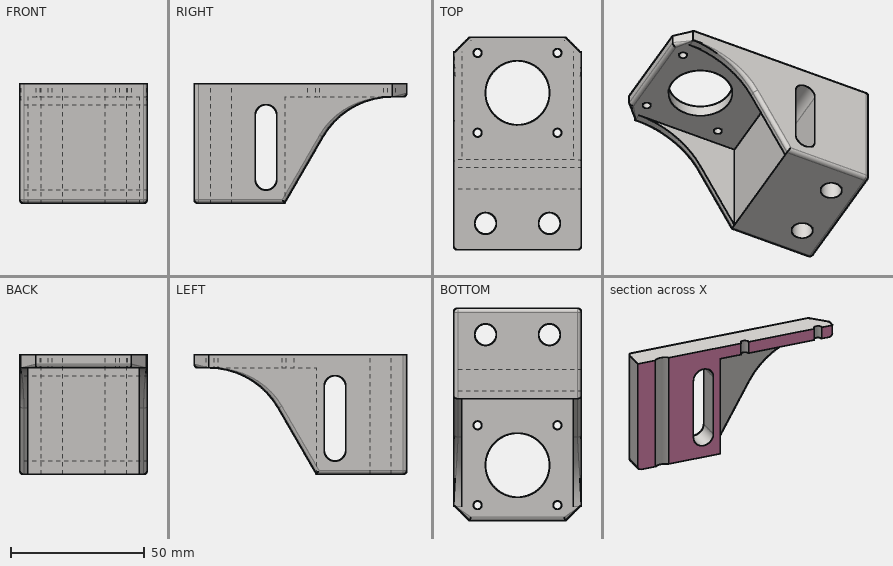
import cadquery as cq
import math

width = 48.0
length = 80.0
height = 45.0
plate_thickness = 5.0
plate_bottom = height - plate_thickness

block_length = 34.0
gusset_thickness = 3.0
gusset_angle = math.radians(60)
gusset_radius = 30.0

edge_radius = 1.5
faded_radius = 0.1
corner_chamfer = 6.0

motor_y = 59.0
motor_bore = 24.0
screw_pitch = 30.0
screw_diameter = 3.0

rod_diameter = 8.0
rod_pitch = 24.0
rod_y = 10.0
slot_width = 8.0
slot_height = 32.0
slot_y = 27.0
slot_z = 21.0


def round_edges(work, full_edges, fading_edges, fades_along_y):
    """Fillet full_edges evenly; fade the fillet of fading_edges out along +Y or -Y."""
    builder = cq.occ_impl.shapes.BRepFilletAPI_MakeFillet(work.val().wrapped)
    for edge in full_edges:
        builder.Add(edge_radius, edge.wrapped)
    for edge in fading_edges:
        builder.Add(edge.wrapped)
        contour = builder.Contour(edge.wrapped)
        position = 1
        while not builder.Edge(contour, position).IsSame(edge.wrapped):
            position += 1
        start = edge.startPoint()
        end = edge.endPoint()
        runs_forward = (end.y - start.y) * fades_along_y > 0
        radii = (edge_radius, faded_radius) if runs_forward else (faded_radius, edge_radius)
        builder.SetRadius(*radii, contour, position)
    return work.newObject([cq.Shape.cast(builder.Shape())])


def make_plate():
    """Top plate with chamfered rear corners and a rounded rear lower edge."""
    plate = cq.Workplane("XY").box(width, length, plate_thickness, centered=(True, False, False))
    plate = plate.translate((0, 0, plate_bottom))
    plate = plate.edges("|Z and <Y").fillet(edge_radius)
    plate = plate.edges("|Z and >Y").chamfer(corner_chamfer)
    rear_edges = plate.edges("|X and >Y and <Z").vals()
    corner_edges = [
        edge for edge in plate.faces("<Z").edges("not(|X or |Y)").vals()
        if edge.Center().y > motor_y
    ]
    return round_edges(plate, rear_edges, corner_edges, -1)


def make_side_wall():
    """Left wall along the block, with a gusset whose slope sweeps into the plate."""
    slope_top_y = block_length + plate_bottom / math.tan(gusset_angle)
    tangent_length = gusset_radius * math.tan(gusset_angle / 2)
    arc_end_y = slope_top_y + tangent_length
    arc_center_z = plate_bottom - gusset_radius

    def arc_point(angle):
        y = arc_end_y - gusset_radius * math.sin(angle)
        z = arc_center_z + gusset_radius * math.cos(angle)
        return (y, z)

    return (
        cq.Workplane("YZ", origin=(-width / 2, 0, 0))
        .moveTo(0, height)
        .lineTo(0, 0)
        .lineTo(block_length, 0)
        .lineTo(*arc_point(gusset_angle))
        .threePointArc(arc_point(gusset_angle / 2), arc_point(0))
        .lineTo(arc_end_y, height)
        .close()
        .extrude(gusset_thickness)
    )


def make_support():
    """Block and gussets with rounded front uprights and rounded outer lower edges."""
    block = cq.Workplane("XY").box(width, block_length, height, centered=(True, False, False))
    wall = make_side_wall()
    support = block.union(wall).union(wall.mirror("YZ")).clean()
    support = support.edges("|Z and <Y").fillet(edge_radius)

    outer_edges = [
        edge for edge in support.edges().vals()
        if edge.Center().y > block_length
        and math.isclose(abs(edge.Center().x), width / 2)
        and edge.Center().z < plate_bottom
    ]
    slopes = [edge for edge in outer_edges if edge.geomType() == "LINE"]
    sweeps = [edge for edge in outer_edges if edge.geomType() == "CIRCLE"]
    lower_edges = support.faces("<Z").edges("not >Y").vals()
    return round_edges(support, lower_edges + slopes, sweeps, 1)


body = make_plate().union(make_support())

top = cq.Workplane("XY", origin=(0, motor_y, 0))
body = body.cut(top.circle(motor_bore / 2).extrude(height))
screws = top.rect(screw_pitch, screw_pitch, forConstruction=True).vertices()
body = body.cut(screws.circle(screw_diameter / 2).extrude(height))

rods = cq.Workplane("XY").pushPoints([(-rod_pitch / 2, rod_y), (rod_pitch / 2, rod_y)])
body = body.cut(rods.circle(rod_diameter / 2).extrude(height))

slot = (
    cq.Workplane("YZ")
    .center(slot_y, slot_z)
    .slot2D(slot_height, slot_width, 90)
    .extrude(width / 2, both=True)
)
result = body.cut(slot)